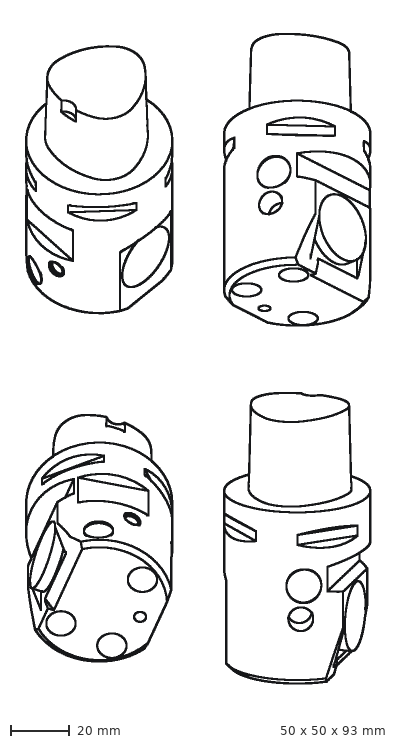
import cadquery as cq
import math

HEAD_D = 50.0
HEAD_R = HEAD_D / 2
BOTTOM_Z = 1.1
SHOULDER_Z = 62.9
TOP_Z = 93.0
BOTTOM_CHAMFER = 1.9
BORE_AXIS_Z = 20.0
REACH = 2 * HEAD_D

LOBE_TIP_R = 18.7
FLANK_MID_R = 16.4
LOBE_ARC_R = 11.6
LOBE_HALF_ANGLE = 24.6
SHANK_TAPER = math.degrees(math.atan(1 / 40))
KEYWAY_D = 8.5
KEYWAY_BOTTOM_Z = 87.4
KEYWAY_INNER_Y = -13.8

NOTCH_FLOOR_R = 22.1
NOTCH_LOW_Z = 51.3
NOTCH_HIGH_Z = 54.8
NOTCH_FLANK = 30.0

SHALLOW_FLANK = 15.0

SIDE_FLAT_FLOOR_R = 21.75
SIDE_FLAT_LOW_Z = 27.6
SIDE_FLAT_HIGH_Z = 42.9
SIDE_FLAT_DIRECTION = 261.7

GROOVE_FLOOR_R = 16.55
GROOVE_LOW_Z = 34.0
GROOVE_HIGH_Z = 42.8
TOOL_FLAT_R = 20.7
NOSE_TOP_Z = BORE_AXIS_Z
NOSE_SLOPE = 15.0
SEAT_TOP_Z = 7.6
SEAT_SLOPE = 31.0
SEAT_SIDE_Y = 8.1

HOLDER_D = 24.0
HOLDER_FLOOR_R = 16.7

DIAL_FLAT_R = 21.4
DIAL_FLAT_TOP_Z = 32.5
DIAL_D = 23.8
DIAL_RIM = 0.1
DIAL_RISE = 1.8

OIL_X = 2.6
OIL_COUNTERBORE_D = 6.2
OIL_CONE_D = 4.7
OIL_TIP_D = 1.5
OIL_COUNTERBORE_DEPTH = 0.7
OIL_CONE_DEPTH = (OIL_CONE_D - OIL_TIP_D) / 2

REAR_HOLE_D = 8.5
REAR_HOLE_DEPTH = 9.3
REAR_HOLE_DIRECTION = 110.0
REAR_HOLE_Z = 24.7

PLUG_D = 10.0
LARGE_PLUG_D = 12.0
PLUG_RISE = 1.1
PLUG_DEPTH = 3.7
SIDE_PLUG_TIP_R = 25.4
FRONT_PLUG_DIRECTION = 248.3
FRONT_PLUG_Z = 9.3
REAR_PLUG_DIRECTION = 112.5
REAR_PLUG_Z = 36.4
BOTTOM_PLUG_CENTRES = [(10.2, -14.5), (10.2, 14.5), (-9.3, 12.3)]

NUB_D = 4.1
NUB_ROOT = 0.9
NUB_RISE = 0.5
NUB_X = 15.0


def polar(radius, angle):
    """Point at a radius and an angle in degrees."""
    return radius * math.cos(math.radians(angle)), radius * math.sin(math.radians(angle))


def tangent(angle):
    """Tangent of an angle in degrees."""
    return math.tan(math.radians(angle))


def side_plane(direction, radius, z):
    """Plane facing radially outwards, at a radius and height in one direction."""
    x, y = polar(radius, direction)
    normal_x, normal_y = polar(1, direction)
    return cq.Plane(origin=(x, y, z), xDir=(-normal_y, normal_x, 0), normal=(normal_x, normal_y, 0))


def shank():
    """Tapered three-lobed shank with a half-round keyway at its top edge."""
    lobe_centre_r = LOBE_TIP_R - LOBE_ARC_R
    along = lobe_centre_r * math.cos(math.radians(LOBE_HALF_ANGLE))
    across = lobe_centre_r * math.sin(math.radians(LOBE_HALF_ANGLE))
    joint_r = along + math.sqrt(LOBE_ARC_R**2 - across**2)

    outline = cq.Workplane("XY", origin=(0, 0, SHOULDER_Z))
    outline = outline.moveTo(*polar(joint_r, 90 - LOBE_HALF_ANGLE))
    for lobe in (90, 210, 330):
        outline = outline.threePointArc(polar(LOBE_TIP_R, lobe), polar(joint_r, lobe + LOBE_HALF_ANGLE))
        next_joint = polar(joint_r, lobe + 120 - LOBE_HALF_ANGLE)
        outline = outline.threePointArc(polar(FLANK_MID_R, lobe + 60), next_joint)
    blank = outline.close().extrude(TOP_Z - SHOULDER_Z, taper=SHANK_TAPER)

    keyway_plane = cq.Workplane("XY", origin=(0, KEYWAY_INNER_Y - KEYWAY_D / 2, KEYWAY_BOTTOM_Z))
    return blank.cut(keyway_plane.circle(KEYWAY_D / 2).extrude(TOP_Z - KEYWAY_BOTTOM_Z))


def side_groove(direction, floor_r, low_z, high_z, flank_angle):
    """Straight groove across the side of the head, with flanks that open outwards."""
    run = HEAD_D - floor_r
    profile = [
        (floor_r, low_z),
        (HEAD_D, low_z - run * tangent(flank_angle)),
        (HEAD_D, high_z + run * tangent(flank_angle)),
        (floor_r, high_z),
    ]
    groove = cq.Workplane("XZ").polyline(profile).close().extrude(REACH / 2, both=True)
    return groove.rotate((0, 0, 0), (0, 0, 1), direction)


def tool_flat():
    """Everything outside the -X flat below the groove."""
    groove_mid_z = (GROOVE_LOW_Z + GROOVE_HIGH_Z) / 2
    waste = cq.Workplane("XY").box(HEAD_D, REACH, groove_mid_z, centered=(False, True, False))
    return waste.translate((-TOOL_FLAT_R - HEAD_D, 0, 0))


def sloped_cut(start_r, start_z, slope):
    """XZ outline of the waste outside a plane that leans inwards on its way down."""
    foot_x = -start_r + start_z * tangent(slope)
    corners = [(-start_r, start_z), (foot_x, 0), (-HEAD_D, 0), (-HEAD_D, start_z)]
    return cq.Workplane("XZ").polyline(corners).close()


def nose_slope():
    """Waste outside the sloped nose, across the full width."""
    return sloped_cut(TOOL_FLAT_R, NOSE_TOP_Z, NOSE_SLOPE).extrude(REACH / 2, both=True)


def insert_seat():
    """Steeper slope at the foot of the nose, on the -Y side of a vertical step."""
    seat_r = TOOL_FLAT_R - (NOSE_TOP_Z - SEAT_TOP_Z) * tangent(NOSE_SLOPE)
    waste = sloped_cut(seat_r, SEAT_TOP_Z, SEAT_SLOPE).extrude(REACH)
    return waste.translate((0, SEAT_SIDE_Y, 0))


def holder_disc():
    """Disc that fills the round end of the recess, flush with the tool flat."""
    plane = side_plane(180, HOLDER_FLOOR_R, BORE_AXIS_Z)
    return cq.Workplane(plane).circle(HOLDER_D / 2).extrude(TOOL_FLAT_R - HOLDER_FLOOR_R)


def holder_channel():
    """Straight part of the U-shaped recess, open at the bottom of the head."""
    depth = TOOL_FLAT_R - HOLDER_FLOOR_R
    channel = cq.Workplane("XY").box(depth, HOLDER_D, BORE_AXIS_Z, centered=(False, True, False))
    return channel.translate((-TOOL_FLAT_R, 0, 0))


def dial_flat():
    """Waste outside the +X flat, which ends in a 45 degree run-out at its top."""
    run = HEAD_D - DIAL_FLAT_R
    profile = [
        (DIAL_FLAT_R, 0),
        (DIAL_FLAT_R, DIAL_FLAT_TOP_Z),
        (HEAD_D, DIAL_FLAT_TOP_Z + run),
        (HEAD_D, 0),
    ]
    return cq.Workplane("XZ").polyline(profile).close().extrude(REACH / 2, both=True)


def oil_port():
    """Counterbore with a conical seat and a small flat at its bottom, along Y."""
    surface_r = math.sqrt(HEAD_R**2 - OIL_X**2)
    seat_r = surface_r - OIL_COUNTERBORE_DEPTH
    profile = [
        (0, seat_r - OIL_CONE_DEPTH),
        (OIL_TIP_D / 2, seat_r - OIL_CONE_DEPTH),
        (OIL_CONE_D / 2, seat_r),
        (OIL_COUNTERBORE_D / 2, seat_r),
        (OIL_COUNTERBORE_D / 2, HEAD_R),
        (0, HEAD_R),
    ]
    port = cq.Workplane("XY").polyline(profile).close().revolve(360, (0, 0, 0), (0, 1, 0))
    return port.rotate((0, 0, 0), (0, 0, 1), 180).translate((OIL_X, 0, BORE_AXIS_Z))


def rear_hole():
    """Blind radial hole below the large plug."""
    plane = side_plane(REAR_HOLE_DIRECTION, HEAD_R - REAR_HOLE_DEPTH, REAR_HOLE_Z)
    return cq.Workplane(plane).circle(REAR_HOLE_D / 2).extrude(HEAD_R)


def domed_disc(plane, diameter, depth, rise):
    """Disc whose rim lies in the plane, with a spherical cap above and a straight side below."""
    radius = diameter / 2
    sphere_r = (radius**2 + rise**2) / (2 * rise)
    half_angle = math.degrees(math.asin(radius / sphere_r)) / 2
    cap_mid = (
        sphere_r * math.sin(math.radians(half_angle)),
        rise - sphere_r + sphere_r * math.cos(math.radians(half_angle)),
    )
    profile = cq.Workplane("XZ").moveTo(0, rise).threePointArc(cap_mid, (radius, 0))
    disc = profile.lineTo(radius, -depth).lineTo(0, -depth).close().revolve(360, (0, 0, 0), (0, 1, 0))
    return cq.Workplane(disc.val().moved(cq.Location(plane)))


def plug_pocket(plane, diameter):
    """Flat-bottomed hole for a plug, open towards the outside."""
    return cq.Workplane(plane).workplane(offset=-PLUG_DEPTH).circle(diameter / 2).extrude(2 * PLUG_DEPTH)


side_plug_rim_r = SIDE_PLUG_TIP_R - PLUG_RISE
plug_seats = [
    (side_plane(FRONT_PLUG_DIRECTION, side_plug_rim_r, FRONT_PLUG_Z), PLUG_D),
    (side_plane(REAR_PLUG_DIRECTION, side_plug_rim_r, REAR_PLUG_Z), LARGE_PLUG_D),
]
for plug_x, plug_y in BOTTOM_PLUG_CENTRES:
    bottom_plane = cq.Plane(origin=(plug_x, plug_y, BOTTOM_Z), xDir=(1, 0, 0), normal=(0, 0, -1))
    plug_seats.append((bottom_plane, PLUG_D))

body = cq.Workplane("XY", origin=(0, 0, BOTTOM_Z)).circle(HEAD_R).extrude(SHOULDER_Z - BOTTOM_Z)
body = body.faces("<Z").chamfer(BOTTOM_CHAMFER)
body = body.union(shank())

for notch_direction in (45, 135, 225, 315):
    body = body.cut(
        side_groove(notch_direction, NOTCH_FLOOR_R, NOTCH_LOW_Z, NOTCH_HIGH_Z, NOTCH_FLANK)
    )
body = body.cut(
    side_groove(SIDE_FLAT_DIRECTION, SIDE_FLAT_FLOOR_R, SIDE_FLAT_LOW_Z, SIDE_FLAT_HIGH_Z, SHALLOW_FLANK)
)
body = body.cut(side_groove(180, GROOVE_FLOOR_R, GROOVE_LOW_Z, GROOVE_HIGH_Z, SHALLOW_FLANK))
body = body.cut(tool_flat()).cut(nose_slope()).cut(insert_seat())
body = body.cut(holder_disc()).cut(holder_channel())
body = body.cut(dial_flat()).cut(oil_port()).cut(rear_hole())
for seat_plane, seat_diameter in plug_seats:
    body = body.cut(plug_pocket(seat_plane, seat_diameter))

nub_plane = cq.Plane(origin=(NUB_X, 0, BOTTOM_Z), xDir=(1, 0, 0), normal=(0, 0, -1))
body = body.union(domed_disc(nub_plane, NUB_D, NUB_ROOT, NUB_RISE))

tool_holder = holder_disc()
dial_plane = side_plane(0, DIAL_FLAT_R + DIAL_RIM, BORE_AXIS_Z)
dial = domed_disc(dial_plane, DIAL_D, DIAL_RIM, DIAL_RISE)

plugs = []
for seat_plane, seat_diameter in plug_seats:
    plugs.append(domed_disc(seat_plane, seat_diameter, PLUG_DEPTH, PLUG_RISE))

result = cq.Compound.makeCompound(
    [body.val(), tool_holder.val(), dial.val(), *[plug.val() for plug in plugs]]
)